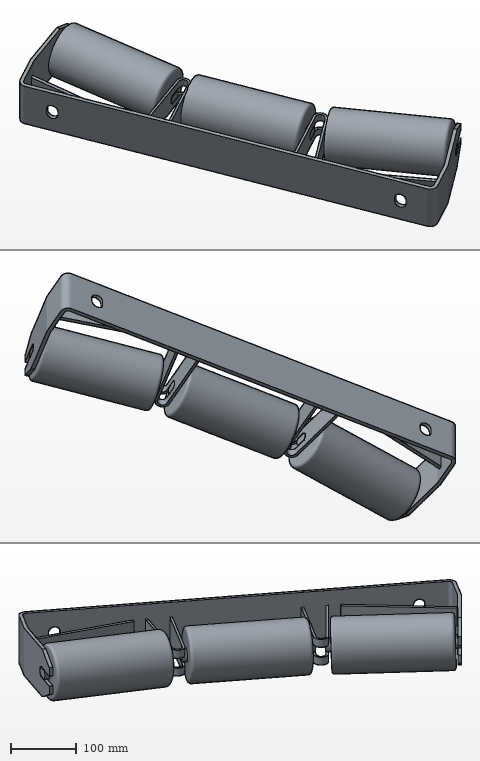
import cadquery as cq
import math


FRAME_LENGTH = 680
STRIP_WIDTH = 80.0
FRAME_THICKNESS = 6.0
BEND_RADIUS = 12.0
WALL_BEND_Y = 58.5
WALL_TIP_Y = 168.5
TIP_ALLOWANCE = 7
TIP_CHAMFER_LENGTH = 31.0
TIP_CHAMFER_WIDTH = 18.0
MOUNT_HOLE_X = 283.5
MOUNT_HOLE_WIDTH = 18.5
MOUNT_HOLE_HEIGHT = 26.5

TROUGH_ANGLE = 10
FORWARD_TILT = 1.9
ROLLER_DIAMETER = 89.0
ROLLER_LENGTH = 190.5
ROLLER_FILLET = 5.0
SHAFT_DIAMETER = 21.0
SHAFT_LENGTH = 208.0
SHAFT_FLATS = 16.0
CENTRE_ROLLER_Y = 98.5
CENTRE_ROLLER_Z = -7.0
SIDE_ROLLER_CENTRE = (-223.0, 119.0, -3.75)

BRACKET_THICKNESS = 4.0
BRACKET_RADIUS = 11.5
BRACKET_TOP_Y = 125.0
BRACKET_WIDTH = 43.5

STRUT_THICKNESS = 5.5
STRUT_WIDTH = 30.0
STRUT_WALL_Y = 51.0
STRUT_FOOT_X = -160.5
STRUT_ANGLE = 13

COS = math.cos(math.radians(TROUGH_ANGLE))
SIN = math.sin(math.radians(TROUGH_ANGLE))
TAN = SIN / COS
HALF_FRAME = FRAME_LENGTH / 2
SHAFT_END = SHAFT_LENGTH / 2
FLATS_START = SHAFT_END - FRAME_THICKNESS


def mirrored(body):
    """Copy of a left-hand body on the right-hand side."""
    return body.mirror("YZ")


def extrude_strip(profile, width):
    """Extrude an XY profile along Z, centred on Z = 0."""
    return profile.extrude(width / 2, both=True)


def place_side_roller(body):
    """Tilt a body about the Y and then the Z axis, and move it to the left roller's place."""
    tilted = body.rotate((0, 0, 0), (0, 1, 0), FORWARD_TILT)
    return tilted.rotate((0, 0, 0), (0, 0, 1), -TROUGH_ANGLE).translate(SIDE_ROLLER_CENTRE)


def place_centre_roller(body):
    return body.translate((0, CENTRE_ROLLER_Y, CENTRE_ROLLER_Z))


def make_roller():
    """Roller along X, centred on the origin, with flats on its shaft ends."""
    shell = (
        cq.Workplane("ZY")
        .circle(ROLLER_DIAMETER / 2)
        .extrude(ROLLER_LENGTH)
        .translate((ROLLER_LENGTH / 2, 0, 0))
        .edges("%CIRCLE")
        .fillet(ROLLER_FILLET)
    )
    shaft = cq.Workplane("YZ").circle(SHAFT_DIAMETER / 2).extrude(FLATS_START, both=True)
    flats = (
        cq.Workplane("YZ")
        .circle(SHAFT_DIAMETER / 2)
        .extrude(SHAFT_END, both=True)
        .intersect(cq.Workplane().box(SHAFT_LENGTH, SHAFT_DIAMETER, SHAFT_FLATS))
    )
    return shell.union(shaft).union(flats)


def make_slot_cutter():
    """Open slots, towards +Y, that take both flatted shaft ends of a roller at the origin."""
    half_flats = SHAFT_FLATS / 2
    seat_y = math.sqrt((SHAFT_DIAMETER / 2) ** 2 - half_flats**2)
    slot = (
        cq.Workplane("YZ", origin=(FLATS_START, 0, 0))
        .moveTo(ROLLER_DIAMETER, half_flats)
        .lineTo(-seat_y, half_flats)
        .threePointArc((-SHAFT_DIAMETER / 2, 0), (-seat_y, -half_flats))
        .lineTo(ROLLER_DIAMETER, -half_flats)
        .close()
        .extrude(FRAME_THICKNESS + BRACKET_RADIUS)
    )
    return slot.union(mirrored(slot))


def strip_hull(inset):
    """Solid inside the strip's outer face moved inwards by `inset`, with untrimmed wall tips."""
    tip_y = WALL_TIP_Y + TIP_ALLOWANCE
    side_x = HALF_FRAME - inset
    bend_y = WALL_BEND_Y - inset * math.tan(math.radians(TROUGH_ANGLE / 2))
    tip_x = side_x - (tip_y - bend_y) * TAN
    left = [(-tip_x, tip_y), (-side_x, bend_y), (-side_x, inset)]
    right = [(-x, y) for x, y in reversed(left)]
    hull = extrude_strip(cq.Workplane().polyline(left + right).close(), STRIP_WIDTH)
    return hull.edges("|Z").edges("not >Y").fillet(BEND_RADIUS - inset)


def make_frame(slot_cutters):
    """Strip with bent-in end walls, two mounting holes and open shaft slots in the walls."""
    frame = strip_hull(0).cut(strip_hull(FRAME_THICKNESS))
    tip_trim = make_tip_trim()
    frame = frame.cut(tip_trim).cut(mirrored(tip_trim))
    holes = (
        cq.Workplane("XZ")
        .pushPoints([(-MOUNT_HOLE_X, 0), (MOUNT_HOLE_X, 0)])
        .slot2D(MOUNT_HOLE_HEIGHT, MOUNT_HOLE_WIDTH, 90)
        .extrude(-FRAME_THICKNESS)
    )
    frame = frame.cut(holes)
    for cutter in slot_cutters:
        frame = frame.cut(cutter)
    return frame


def make_tip_trim():
    """Cutter, square to the left wall, that ends it at its tip and bevels the two tip corners."""
    tip_x = HALF_FRAME - (WALL_TIP_Y - WALL_BEND_Y) * TAN
    wall_plane = cq.Plane(origin=(-tip_x, WALL_TIP_Y, 0), xDir=(SIN, COS, 0), normal=(-COS, SIN, 0))
    half_width = STRIP_WIDTH / 2
    half_tip = half_width - TIP_CHAMFER_WIDTH
    profile = (
        cq.Workplane(wall_plane)
        .moveTo(0, half_tip)
        .lineTo(-TIP_CHAMFER_LENGTH, half_width)
        .lineTo(TIP_ALLOWANCE * 2, half_width)
        .lineTo(TIP_ALLOWANCE * 2, -half_width)
        .lineTo(-TIP_CHAMFER_LENGTH, -half_width)
        .lineTo(0, -half_tip)
        .close()
    )
    return profile.extrude(FRAME_THICKNESS * 2, both=True)


def bracket_outline(radius):
    """Solid under the fold of a left bracket: one upright leg, a round top and one leaning leg."""
    fold_x = -(SHAFT_END - BRACKET_THICKNESS) - BRACKET_RADIUS
    fold_y = BRACKET_TOP_Y - BRACKET_RADIUS
    tangent_x = fold_x - radius * COS
    tangent_y = fold_y + radius * SIN
    foot_x = tangent_x - (tangent_y - FRAME_THICKNESS) * TAN
    profile = (
        cq.Workplane()
        .moveTo(fold_x + radius, FRAME_THICKNESS)
        .lineTo(fold_x + radius, fold_y)
        .threePointArc((fold_x, fold_y + radius), (tangent_x, tangent_y))
        .lineTo(foot_x, FRAME_THICKNESS)
        .close()
    )
    return extrude_strip(profile, BRACKET_WIDTH).translate((0, 0, CENTRE_ROLLER_Z))


def make_bracket(slot_cutters):
    """Folded strip that stands on the frame and carries two neighbouring shaft ends."""
    inner_radius = BRACKET_RADIUS - BRACKET_THICKNESS
    bracket = bracket_outline(BRACKET_RADIUS).cut(bracket_outline(inner_radius))
    for cutter in slot_cutters:
        bracket = bracket.cut(cutter)
    return bracket


def make_strut():
    """Left strut: a square-ended bar that slopes from the wall and is cut level at its foot."""
    slope = math.tan(math.radians(STRUT_ANGLE))
    wall_x = -HALF_FRAME + FRAME_THICKNESS
    foot_top_y = STRUT_WALL_Y - (STRUT_FOOT_X - wall_x) * slope
    length = math.hypot(STRUT_FOOT_X - wall_x, STRUT_WALL_Y - foot_top_y)
    bar = (
        cq.Workplane()
        .box(length, STRUT_THICKNESS, STRUT_WIDTH, centered=(False, False, True))
        .translate((0, -STRUT_THICKNESS, 0))
        .rotate((0, 0, 0), (0, 0, 1), -STRUT_ANGLE)
        .translate((wall_x, STRUT_WALL_Y, 0))
    )
    return bar.intersect(strip_hull(FRAME_THICKNESS))


roller = make_roller()
slot_cutter = make_slot_cutter()

centre_roller = place_centre_roller(roller)
left_roller = place_side_roller(roller)
centre_slots = place_centre_roller(slot_cutter)
left_slots = place_side_roller(slot_cutter)

frame = make_frame([left_slots, mirrored(left_slots)])
left_bracket = make_bracket([left_slots, centre_slots])
left_strut = make_strut()

bodies = [frame, centre_roller]
for left_body in (left_roller, left_bracket, left_strut):
    bodies += [left_body, mirrored(left_body)]

result = cq.Compound.makeCompound([body.val() for body in bodies])